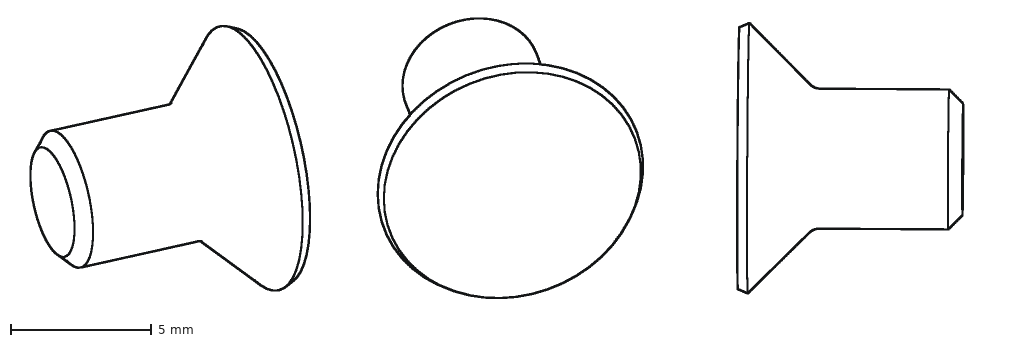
import cadquery as cq
import math

total_length = 8.0
head_radius = 9.66 / 2
head_face_radius = 4.68
head_rim_height = 0.36
shank_radius = 5.0 / 2
tip_chamfer = 0.5
neck_fillet = 0.5
cone_angle = math.radians(45)

cone_height = (head_radius - shank_radius) / math.tan(cone_angle)
neck_y = -(head_rim_height + cone_height)

tangent_length = neck_fillet * math.tan(cone_angle / 2)
fillet_center_x = shank_radius + neck_fillet
fillet_center_y = neck_y - tangent_length


def fillet_point(angle):
    """Point on the neck fillet, turned by angle from its shank end."""
    return (
        fillet_center_x - neck_fillet * math.cos(angle),
        fillet_center_y + neck_fillet * math.sin(angle),
    )


result = (
    cq.Workplane("XY")
    .moveTo(0, 0)
    .lineTo(head_face_radius, 0)
    .lineTo(head_radius, -head_rim_height)
    .lineTo(*fillet_point(cone_angle))
    .threePointArc(fillet_point(cone_angle / 2), fillet_point(0))
    .lineTo(shank_radius, tip_chamfer - total_length)
    .lineTo(shank_radius - tip_chamfer, -total_length)
    .lineTo(0, -total_length)
    .close()
    .revolve(360, (0, 0, 0), (0, 1, 0))
)